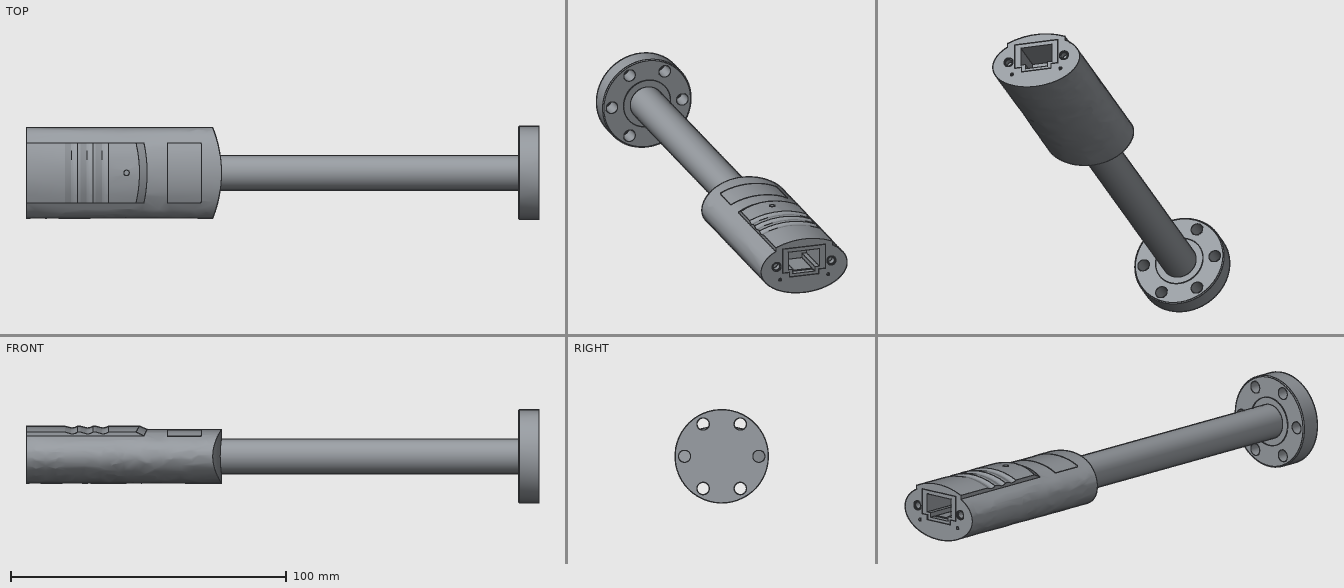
import cadquery as cq

TOTAL_LENGTH = 186.3

BODY_LENGTH = 70.9
BODY_HALF_WIDTH = 16.5
BODY_HALF_HEIGHT = 9.8
BODY_END_BOW = 3.2

SLIDER_HALF_WIDTH = 10.9
SLIDER_CREST_Z = 11.0
SLIDER_SURFACE_RADIUS = 28.0
SLIDER_LENGTH = 43.9
SLIDER_END_BOW = 1.2
SLIDER_RAMP_LENGTH = 2.8
SLIDER_RAMP_DROP = 1.2

GROOVE_COUNT = 3
GROOVE_START = 14.1
GROOVE_PITCH = 5.6
GROOVE_WIDTH = 4.5
GROOVE_DEPTH = 0.6
GROOVE_REAR_WIDTH_SHARE = 0.8
GROOVE_REAR_DEPTH_SHARE = 0.7

INDICATOR_X = 36.4
INDICATOR_DIAMETER = 2.0
INDICATOR_DEPTH = 1.0

LABEL_START = 51.2
LABEL_LENGTH = 12.4
LABEL_HALF_WIDTH = 10.9
LABEL_CORNER_RADIUS = 0.6
LABEL_DEPTH = 0.1

SOCKET_RIM = (8.2, 7.9, -1.4, 5.6, -3.2)
SOCKET_RIM_DEPTH = 0.3
SOCKET_CAVITY = (5.9, 6.4, -0.4, 4.2, -2.1)
SOCKET_CAVITY_DEPTH = 15.0
LATCH_GROOVE_START = 2.6
LATCH_GROOVE_WIDTH = 1.0
LATCH_GROOVE_DEPTH = 0.8

SCREW_Y = 10.5
SCREW_Z = 1.3
SCREW_HEAD_DIAMETER = 3.4
SCREW_HEAD_DEPTH = 0.5
SCREW_DIAMETER = 2.5
SCREW_DEPTH = 3.0
LAMP_Y = 9.2
LAMP_Z = -3.8
LAMP_DIAMETER = 1.1
LAMP_DEPTH = 1.0

TUBE_DIAMETER = 12.7
FLANGE_DIAMETER = 34.0
FLANGE_THICKNESS = 7.5
FLANGE_CHAMFER = 0.4
FLANGE_RECESS_DIAMETER = 18.0
FLANGE_RECESS_DEPTH = 0.4
BOLT_COUNT = 6
BOLT_CIRCLE_DIAMETER = 27.0
BOLT_HOLE_DIAMETER = 4.4

SLIDER_AXIS_Z = SLIDER_CREST_Z - SLIDER_SURFACE_RADIUS


def oval_prism(half_width, half_height, length):
    return cq.Workplane("YZ").ellipse(half_width, half_height).extrude(length)


def bowed_plate(length, half_width, bow, height):
    """Plate standing on Z = 0 whose rear end bulges by `bow` beyond its straight sides."""
    side_length = length - bow
    return (
        cq.Workplane("XY")
        .moveTo(0, -half_width)
        .lineTo(side_length, -half_width)
        .threePointArc((length, 0), (side_length, half_width))
        .lineTo(0, half_width)
        .close()
        .extrude(height)
    )


def make_body():
    plan = bowed_plate(BODY_LENGTH, BODY_HALF_WIDTH, BODY_END_BOW, 2 * BODY_HALF_HEIGHT)
    oval = oval_prism(BODY_HALF_WIDTH, BODY_HALF_HEIGHT, BODY_LENGTH)
    return oval.intersect(plan.translate((0, 0, -BODY_HALF_HEIGHT)))


def make_slider():
    crown = (
        cq.Workplane("YZ", origin=(0, 0, SLIDER_AXIS_Z))
        .circle(SLIDER_SURFACE_RADIUS)
        .extrude(SLIDER_LENGTH)
    )
    slider = (
        bowed_plate(SLIDER_LENGTH, SLIDER_HALF_WIDTH, SLIDER_END_BOW, SLIDER_CREST_Z)
        .intersect(crown)
        .faces(">X")
        .edges(">Z")
        .chamfer(SLIDER_RAMP_DROP, SLIDER_RAMP_LENGTH)
    )
    for index in range(GROOVE_COUNT):
        slider = slider.cut(groove_cutter(GROOVE_START + index * GROOVE_PITCH))
    return slider


def groove_cutter(start):
    """Ring with a sloping front wall and a hollow rear wall, turned about the slider surface's axis."""
    middle = start + GROOVE_WIDTH / 2
    end = start + GROOVE_WIDTH
    crest = SLIDER_SURFACE_RADIUS
    rear_wall_point = (
        start + GROOVE_REAR_WIDTH_SHARE * GROOVE_WIDTH,
        crest - GROOVE_REAR_DEPTH_SHARE * GROOVE_DEPTH,
    )
    return (
        cq.Workplane("XZ", origin=(0, 0, SLIDER_AXIS_Z))
        .moveTo(start, crest + GROOVE_DEPTH)
        .lineTo(start, crest)
        .lineTo(middle, crest - GROOVE_DEPTH)
        .threePointArc(rear_wall_point, (end, crest))
        .lineTo(end, crest + GROOVE_DEPTH)
        .close()
        .revolve(360, (0, 0, 0), (1, 0, 0))
    )


def label_cutter():
    outline = (
        cq.Workplane("XY", origin=(LABEL_START, 0, 0))
        .box(LABEL_LENGTH, 2 * LABEL_HALF_WIDTH, 2 * BODY_HALF_HEIGHT, centered=(False, True, False))
        .edges("|Z and >X")
        .fillet(LABEL_CORNER_RADIUS)
    )
    floor = oval_prism(BODY_HALF_WIDTH - LABEL_DEPTH, BODY_HALF_HEIGHT - LABEL_DEPTH, BODY_LENGTH)
    return outline.cut(floor)


def socket_cutter(half_width, top, ledge, slot_half_width, bottom, depth):
    return (
        cq.Workplane("YZ")
        .polyline(
            [
                (-half_width, top),
                (half_width, top),
                (half_width, ledge),
                (slot_half_width, ledge),
                (slot_half_width, bottom),
                (-slot_half_width, bottom),
                (-slot_half_width, ledge),
                (-half_width, ledge),
            ]
        )
        .close()
        .extrude(depth)
    )


def latch_groove_cutter():
    """Cross groove in the floor of the latch slot."""
    slot_half_width, slot_floor = SOCKET_CAVITY[3:]
    return cq.Workplane("XY", origin=(LATCH_GROOVE_START, 0, slot_floor - LATCH_GROOVE_DEPTH)).box(
        LATCH_GROOVE_WIDTH, 2 * slot_half_width, LATCH_GROOVE_DEPTH, centered=(False, True, False)
    )


def face_holes(y, z, diameter, depth):
    return cq.Workplane("YZ").pushPoints([(-y, z), (y, z)]).circle(diameter / 2).extrude(depth)


def make_housing():
    housing = make_body().union(make_slider())
    indicator = (
        cq.Workplane("XY", origin=(INDICATOR_X, 0, SLIDER_CREST_Z))
        .circle(INDICATOR_DIAMETER / 2)
        .extrude(-INDICATOR_DEPTH)
    )
    return (
        housing.cut(indicator)
        .cut(label_cutter())
        .cut(socket_cutter(*SOCKET_RIM, SOCKET_RIM_DEPTH))
        .cut(socket_cutter(*SOCKET_CAVITY, SOCKET_CAVITY_DEPTH))
        .cut(latch_groove_cutter())
        .cut(face_holes(SCREW_Y, SCREW_Z, SCREW_HEAD_DIAMETER, SCREW_HEAD_DEPTH))
        .cut(face_holes(SCREW_Y, SCREW_Z, SCREW_DIAMETER, SCREW_DEPTH))
        .cut(face_holes(LAMP_Y, LAMP_Z, LAMP_DIAMETER, LAMP_DEPTH))
    )


def make_flange():
    front_x = TOTAL_LENGTH - FLANGE_THICKNESS
    disc = (
        cq.Workplane("YZ", origin=(front_x, 0, 0))
        .circle(FLANGE_DIAMETER / 2)
        .extrude(FLANGE_THICKNESS)
        .faces("<X")
        .edges()
        .chamfer(FLANGE_CHAMFER)
        .faces(">X")
        .workplane()
        .polarArray(BOLT_CIRCLE_DIAMETER / 2, 0, 360, BOLT_COUNT)
        .hole(BOLT_HOLE_DIAMETER)
    )
    recess = (
        cq.Workplane("YZ", origin=(front_x, 0, 0))
        .circle(FLANGE_RECESS_DIAMETER / 2)
        .extrude(FLANGE_RECESS_DEPTH)
    )
    return disc.cut(recess)


def make_tube():
    """Tube rooted inside the housing's bowed end and inside the flange."""
    start = BODY_LENGTH - BODY_END_BOW
    length = TOTAL_LENGTH - FLANGE_THICKNESS / 2 - start
    return cq.Workplane("YZ", origin=(start, 0, 0)).circle(TUBE_DIAMETER / 2).extrude(length)


result = make_housing().union(make_tube()).union(make_flange())